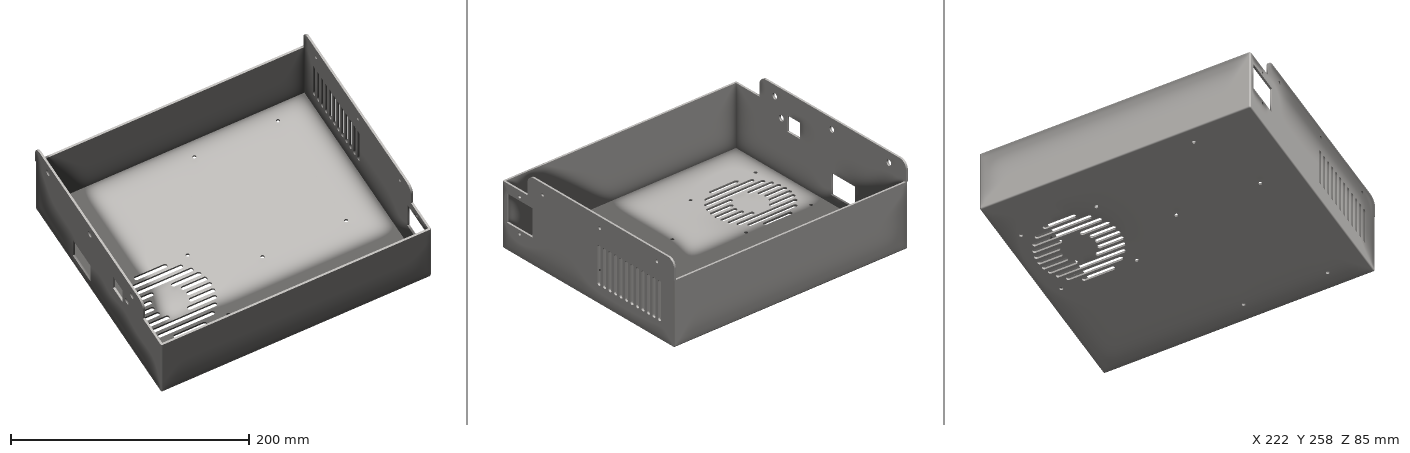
import cadquery as cq
import math

width = 222.0
depth = 258.0
height = 85.0
wall = 2.0
wall_height = 65.0
outer_radius = 1.5

tab_length = 189.6
tab_corner_radius = 8.0

tab_hole_start = 22.2
tab_hole_pitch = 73.8
tab_hole_count = 3
tab_hole_z = 74.0
front_tab_hole_diameter = 6.0
back_tab_hole_diameter = 3.4

switch_opening = (145.3, 54.7, 16.8, 15.7)
connector_opening = (81.5, 21.2, 30.7, 21.5)
lamp_x = 161.2
lamp_z = 56.5
lamp_diameter = 6.0

slot_width = 4.0
vent_first_x = 18.8
vent_slot_count = 12
vent_last_x = 97.0
vent_bottom = 17.8
vent_length = 39.2
socket_x = 199.7
socket_z = 41.0
socket_width = 33.0
socket_height = 28.5
socket_hole_spacing = 36.0
screw_diameter = 3.0

board_hole_xs = (17.5, 137.5)
board_hole_ys = (142.5, 222.5)
earth_hole = (207.0, 196.3)
floor_hole_diameter = 3.4
earth_hole_diameter = 3.0
fan_x = 142.0
fan_y = 52.0
fan_hole_pitch = 71.7
grille_radius = 37.5
grille_pitch = 7.0
hub_radius = 17.5
side_slot_count = 5


def build_box():
    """Open tray with rounded outer edges and a sharp-edged cavity."""
    tray = cq.Workplane("XY").box(width, depth, wall_height, centered=False)
    tray = tray.edges("|Z or <Z").fillet(outer_radius)
    cavity = (
        cq.Workplane("XY", origin=(wall, wall, wall))
        .box(width - 2 * wall, depth - 2 * wall, wall_height, centered=False)
    )
    return tray.cut(cavity)


def build_tab(y_start):
    """Mounting tab rising above a front or back wall, with two rounded top corners."""
    return (
        cq.Workplane("XY", origin=(0, y_start, wall_height))
        .box(tab_length, wall, height - wall_height, centered=False)
        .edges("|Y and >Z").fillet(tab_corner_radius)
    )


def wall_plane(y_start):
    """Sketch plane behind a wall: local x is X, local y is Z, extrusion runs toward -Y."""
    return cq.Workplane("XZ", origin=(0, y_start + 2 * wall, 0))


def cut_wall(body, sketch):
    """Cut a sketch drawn on a wall plane through that wall."""
    return body.cut(sketch.extrude(3 * wall))


def cut_floor(body, sketch):
    """Cut a sketch drawn at Z = 0 through the floor."""
    return body.cut(sketch.extrude(2 * wall))


def cut_front_openings(body):
    """Tab holes, lamp hole and the two rectangular openings of the front wall."""
    body = cut_wall(body, wall_plane(front_y).pushPoints(tab_hole_points).circle(front_tab_hole_diameter / 2))
    body = cut_wall(body, wall_plane(front_y).pushPoints([(lamp_x, lamp_z)]).circle(lamp_diameter / 2))
    for x, z, opening_width, opening_height in (switch_opening, connector_opening):
        body = cut_wall(body, wall_plane(front_y).center(x, z).rect(opening_width, opening_height))
    return body


def cut_back_openings(body):
    """Tab holes, ventilation slots, socket opening and its screw holes in the back wall."""
    vent_z = vent_bottom + vent_length / 2
    vent_pitch = (vent_last_x - vent_first_x) / (vent_slot_count - 1)
    vent_points = [(vent_first_x + i * vent_pitch, vent_z) for i in range(vent_slot_count)]
    screw_points = [(socket_x, socket_z + side * socket_hole_spacing / 2) for side in (-1, 1)]
    body = cut_wall(body, wall_plane(back_y).pushPoints(tab_hole_points).circle(back_tab_hole_diameter / 2))
    body = cut_wall(body, wall_plane(back_y).pushPoints(vent_points).slot2D(vent_length, slot_width, 90))
    body = cut_wall(body, wall_plane(back_y).center(socket_x, socket_z).rect(socket_width, socket_height))
    return cut_wall(body, wall_plane(back_y).pushPoints(screw_points).circle(screw_diameter / 2))


def cut_floor_holes(body):
    """Board mounting holes, fan mounting holes and the earth hole."""
    fan_offset = fan_hole_pitch / 2
    board_holes = [(x, y) for x in board_hole_xs for y in board_hole_ys]
    fan_holes = [(fan_x + i * fan_offset, fan_y + j * fan_offset) for i in (-1, 1) for j in (-1, 1)]
    screw_holes = board_holes + fan_holes
    body = cut_floor(body, cq.Workplane("XY").pushPoints(screw_holes).circle(floor_hole_diameter / 2))
    return cut_floor(body, cq.Workplane("XY").center(*earth_hole).circle(earth_hole_diameter / 2))


def cut_grille_slot(body, x_offset, y_low, y_high):
    """Cut one slot whose end arcs are centred at y_low and y_high from the fan centre."""
    length = y_high - y_low + slot_width
    slot = (
        cq.Workplane("XY")
        .center(fan_x + x_offset, fan_y + (y_low + y_high) / 2)
        .slot2D(length, slot_width, 90)
    )
    return cut_floor(body, slot)


def cut_fan_grille(body):
    """Parallel slots filling a circle; those that would cross the hub are split in two."""
    for i in range(-side_slot_count, side_slot_count + 1):
        x_offset = i * grille_pitch
        y_outer = math.sqrt(grille_radius**2 - x_offset**2)
        if abs(x_offset) < hub_radius:
            y_hub = math.sqrt(hub_radius**2 - x_offset**2)
            body = cut_grille_slot(body, x_offset, y_hub, y_outer)
            body = cut_grille_slot(body, x_offset, -y_outer, -y_hub)
        else:
            body = cut_grille_slot(body, x_offset, -y_outer, y_outer)
    return body


front_y = 0
back_y = depth - wall
tab_hole_points = [(tab_hole_start + i * tab_hole_pitch, tab_hole_z) for i in range(tab_hole_count)]

result = build_box().union(build_tab(front_y)).union(build_tab(back_y))
result = cut_front_openings(result)
result = cut_back_openings(result)
result = cut_floor_holes(result)
result = cut_fan_grille(result)